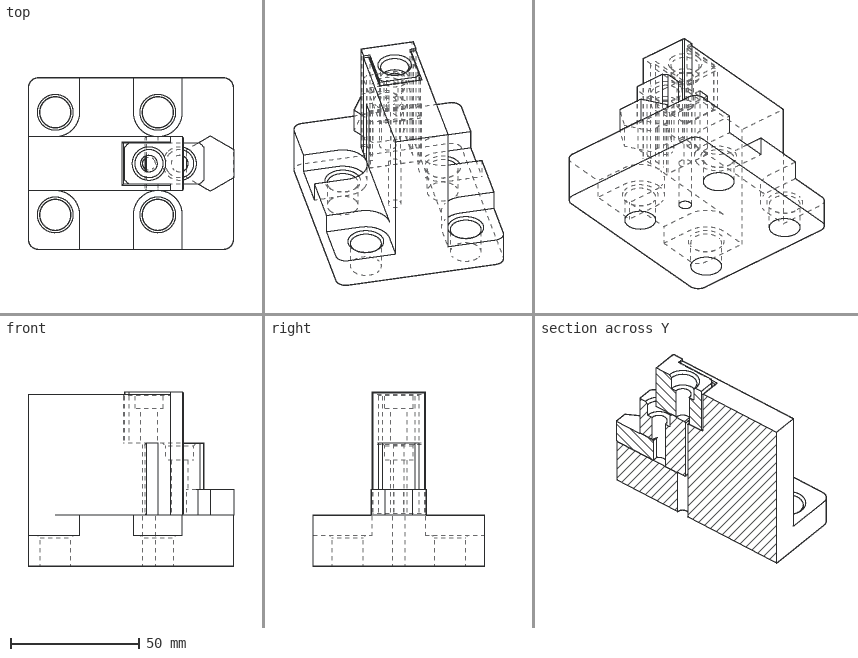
import cadquery as cq
import math

BASE_LENGTH = 80.0
BASE_WIDTH = 67.0
BASE_HEIGHT = 20.0
BASE_CORNER_RADIUS = 4.0
WALL_WIDTH = 20.95
WALL_END_X = 55.45
WALL_TOP_Z = 67.0

MOUNT_FIRST_X = 10.5
MOUNT_PITCH_X = 40.0
MOUNT_OFFSET_Y = 20.0
MOUNT_DIAMETER = 12.0
MOUNT_CHAMFER = 1.0
SEAT_Z = 12.0
SEAT_RADIUS = MOUNT_OFFSET_Y - WALL_WIDTH / 2

INSERT_LENGTH = 22.95
FLANGE_THICKNESS = 5.05
FLANGE_CHAMFER = 0.5
STEM_WIDTH = 16.0
STEM_CORNER_CHAMFER = 1.6
SCREW_FROM_FLANGE = 13.5
SCREW_DIAMETER = 6.5
COUNTERBORE_DIAMETER = 11.0
COUNTERBORE_DEPTH = 6.5
COUNTERBORE_CHAMFER = 1.05

UPPER_FACE_X = WALL_END_X + FLANGE_THICKNESS
UPPER_TOP_Z = 68.0
UPPER_SCREW_X = UPPER_FACE_X - SCREW_FROM_FLANGE
LOWER_FACE_X = 45.5
LOWER_TOP_Z = 48.0

POCKET_END_GAP = 0.5
POCKET_CHAMFER = 0.5
POCKET_END_X = UPPER_FACE_X - INSERT_LENGTH - POCKET_END_GAP
TAPPED_DIAMETER = 5.0

HEX_ACROSS_FLATS = 18.6
HEX_RIGHT_X = 80.25
HEX_TOP_Z = 30.0


def block(x_min, x_max, y_min, y_max, z_min, z_max):
    """Rectangular block between the given limits."""
    center = ((x_min + x_max) / 2, (y_min + y_max) / 2, z_min)
    return cq.Workplane("XY", origin=center).rect(x_max - x_min, y_max - y_min).extrude(z_max - z_min)


def box(x_min, x_max, width, z_min, z_max):
    """Block of the given width, centred on Y = 0."""
    return block(x_min, x_max, -width / 2, width / 2, z_min, z_max)


def cylinder(x, y, z_min, z_max, diameter):
    return cq.Workplane("XY", origin=(x, y, z_min)).circle(diameter / 2).extrude(z_max - z_min)


def countersink(x, y, z_top, hole_diameter, chamfer):
    """45 degree cone that breaks the upper edge of a hole."""
    radius = hole_diameter / 2
    cone = cq.Solid.makeCone(radius, radius + chamfer, chamfer, pnt=cq.Vector(x, y, z_top - chamfer))
    return cq.Workplane(obj=cone)


def make_insert_blank(z_min, z_max, stem_z_min):
    """Undrilled T insert with its flange face at X = 0 and its stem toward -X."""
    flange = box(-FLANGE_THICKNESS, 0, WALL_WIDTH, z_min, z_max).faces(">X").edges().chamfer(FLANGE_CHAMFER)
    stem = (
        box(-INSERT_LENGTH, -FLANGE_THICKNESS, STEM_WIDTH, stem_z_min, z_max)
        .edges("|Z and <X")
        .chamfer(STEM_CORNER_CHAMFER)
    )
    return flange.union(stem)


def drill_insert(blank, z_min, z_max):
    """Counterbored screw hole with a broken upper edge."""
    x = -SCREW_FROM_FLANGE
    return (
        blank.cut(cylinder(x, 0, z_min, z_max, SCREW_DIAMETER))
        .cut(cylinder(x, 0, z_max - COUNTERBORE_DEPTH, z_max, COUNTERBORE_DIAMETER))
        .cut(countersink(x, 0, z_max, COUNTERBORE_DIAMETER, COUNTERBORE_CHAMFER))
    )


def place_lower(insert):
    """Turn an insert so that its flange faces -X and move it to the lower position."""
    return insert.rotate((0, 0, 0), (0, 0, 1), 180).translate((LOWER_FACE_X, 0, 0))


def make_hex_block():
    center_x = HEX_RIGHT_X - HEX_ACROSS_FLATS / 2
    corner_diameter = HEX_ACROSS_FLATS / math.cos(math.pi / 6)
    return (
        cq.Workplane("XY", origin=(center_x, 0, BASE_HEIGHT))
        .transformed(rotate=(0, 0, 30))
        .polygon(6, corner_diameter)
        .extrude(HEX_TOP_Z - BASE_HEIGHT)
    )


def cut_mounting_seat(base, x, side, open_to_end):
    """Lower the plate around one mounting hole, out to the nearest side edge."""
    y = side * MOUNT_OFFSET_Y
    x_max = x + SEAT_RADIUS
    x_min = 0 if open_to_end else x - SEAT_RADIUS
    y_min, y_max = sorted((y, side * BASE_WIDTH / 2))
    base = base.cut(cylinder(x, y, SEAT_Z, BASE_HEIGHT, 2 * SEAT_RADIUS))
    base = base.cut(block(x_min, x_max, y_min, y_max, SEAT_Z, BASE_HEIGHT))
    if open_to_end:
        y_min, y_max = sorted((y, side * WALL_WIDTH / 2))
        base = base.cut(block(x_min, x, y_min, y_max, SEAT_Z, BASE_HEIGHT))
    return base


def cut_mounting_hole(base, x, y):
    base = base.cut(cylinder(x, y, 0, SEAT_Z, MOUNT_DIAMETER))
    return base.cut(countersink(x, y, SEAT_Z, MOUNT_DIAMETER, MOUNT_CHAMFER))


def cut_upper_pocket(housing):
    """Stem pocket open at the wall end, with a chamfered rim."""
    pocket = box(POCKET_END_X, WALL_END_X, STEM_WIDTH, LOWER_TOP_Z, WALL_TOP_Z)
    rim_end_x = POCKET_END_X - POCKET_CHAMFER
    rim = (
        cq.Workplane("XY", origin=((rim_end_x + UPPER_FACE_X) / 2, 0, WALL_TOP_Z))
        .rect(UPPER_FACE_X - rim_end_x, STEM_WIDTH + 2 * POCKET_CHAMFER)
        .extrude(-POCKET_CHAMFER, taper=45)
    )
    return housing.cut(pocket).cut(rim)


def make_housing(lower_blank):
    housing = box(0, BASE_LENGTH, BASE_WIDTH, 0, BASE_HEIGHT).edges("|Z").fillet(BASE_CORNER_RADIUS)
    for side in (-1, 1):
        for index in range(2):
            x = MOUNT_FIRST_X + index * MOUNT_PITCH_X
            housing = cut_mounting_seat(housing, x, side, open_to_end=index == 0)
            housing = cut_mounting_hole(housing, x, side * MOUNT_OFFSET_Y)
    housing = housing.union(box(0, WALL_END_X, WALL_WIDTH, 0, WALL_TOP_Z))
    housing = cut_upper_pocket(housing)
    housing = housing.cut(cylinder(UPPER_SCREW_X, 0, 0, LOWER_TOP_Z, TAPPED_DIAMETER))
    tapped_chamfer = (SCREW_DIAMETER - TAPPED_DIAMETER) / 2
    housing = housing.cut(countersink(UPPER_SCREW_X, 0, LOWER_TOP_Z, TAPPED_DIAMETER, tapped_chamfer))
    return housing.cut(lower_blank)


hex_block = make_hex_block()

lower_blank = make_insert_blank(BASE_HEIGHT, LOWER_TOP_Z, BASE_HEIGHT)
lower_insert = place_lower(drill_insert(lower_blank, BASE_HEIGHT, LOWER_TOP_Z)).cut(hex_block)

upper_blank = make_insert_blank(BASE_HEIGHT, UPPER_TOP_Z, LOWER_TOP_Z)
upper_insert = (
    drill_insert(upper_blank, LOWER_TOP_Z, UPPER_TOP_Z)
    .translate((UPPER_FACE_X, 0, 0))
    .cut(place_lower(lower_blank))
)

housing = make_housing(place_lower(lower_blank))

bodies = [housing, upper_insert, lower_insert, hex_block]
result = cq.Compound.makeCompound([body.solids().val() for body in bodies])